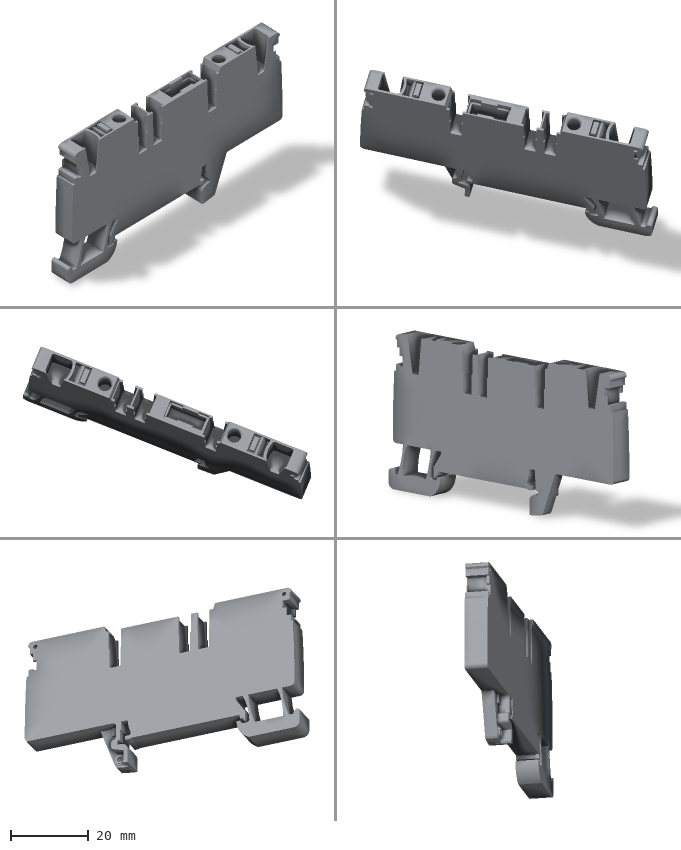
import cadquery as cq

WIDTH = 6.1
HALF_WIDTH = WIDTH / 2
SKIN = 0.6
HALF_CORE = HALF_WIDTH - SKIN

HALF_LENGTH = 38.05
HOUSING_BOTTOM = 12.35
HOUSING_TOP = 41.13
DECK = 39.5
CORNER_RADIUS = 1.1

SHOULDER_Y, SHOULDER_Z = 37.55, 31.3
STEP_Y, STEP_Z = 37.0, 33.15
NOTCH_Y, NOTCH_TOP_Z = 35.75, 37.65
HOOK_Y, HOOK_STEP_Z = 36.6, 39.5
NOSE_RADIUS = 1.2
NOSE_Y, NOSE_Z = 37.1, HOUSING_TOP - NOSE_RADIUS
DECK_EDGE_Y = 15.1
TOP_EDGE_Y = 15.6

NOTCH_INNER_Y = 34.7
NOTCH_FLOOR_Z = 32.7
NOTCH_SPLIT_Z = 35.5
NOTCH_UPPER_SKIN = 0.75
NOTCH_LOWER_SKIN = 0.3
LATERAL_HOLE_RADIUS = 0.6
LATERAL_HOLE_Y, LATERAL_HOLE_Z = 35.05, 39.5
LATERAL_HOLE_DEPTH = 1.0

SLOT_CENTRES = (12.6, -7.05, -12.4)
SLOT_FLOOR = 28.7
SLOT_STEP_Z = 34.2
SLOT_LOWER_HALF = 1.52
SLOT_UPPER_HALF = 1.75
SLOT_CORE_TOP_HALF = 2.45
SLOT_FLOOR_RADIUS = 0.35

ENTRY_OUTER_Y, ENTRY_INNER_Y = 33.55, 28.0
ENTRY_BULGE = 0.6
ENTRY_MIN_X, ENTRY_MAX_X = -2.46, 2.7
ENTRY_CORNER = 0.5
ENTRY_DEPTH = 10.0
WINDOW_TOP_Y = (28.2, 33.2)
WINDOW_FLOOR_Y = (29.2, 31.5)

RELEASE_OUTER_Y, RELEASE_INNER_Y = 27.1, 22.5
RELEASE_HALF_X = 2.55
RELEASE_DEPTH = 3.0
RELEASE_BULGE = 0.4
RAMP_FOOT_Y, RAMP_TOP_Y = 26.2, 25.1
RAMP_DROP = 0.6
SHELF_Y, SHELF_DROP = 24.6, 1.2
LEVER_OUTER_Y, LEVER_INNER_Y = 24.2, 22.9
LEVER_HALF_X = 1.85
LEVER_TOP = 41.3

TEST_HOLE_Y = 17.98
TEST_HOLE_RADIUS = 1.75
TEST_HOLE_MOUTH_RADIUS = 2.1
TEST_HOLE_DEPTH = 8.0

CHANNEL_X, CHANNEL_Y = (-2.2, 1.3), (-0.4, 9.4)
CHANNEL_DEPTH = 6.0
SEAT_X = (-2.7, 1.85)
SEAT_Y_RANGES = ((7.0, 9.9), (-0.9, 2.75))
SEAT_DEPTH = 1.5

SEAT_PLANE_Z = 7.0
SEAT_LUG_Y = (8.4, 9.7)
SEAT_LUG_Z = (6.8, 7.9)
SEAT_ROOT_Y = (9.0, -21.4)
SEAT_HOOK_INNER_Y, SEAT_HOOK_OUTER_Y = -22.5, -24.1
SEAT_HOOK_TIP_Z = 5.1

LATCH_OUTER_Y, LATCH_NECK_Y = 12.25, 13.65
LATCH_FRONT_Y = 10.9
LATCH_STEP_Y, LATCH_STEP_Z = 11.2, 9.9
LATCH_GROOVE_Y = 12.0
LATCH_TOE_Y, LATCH_TOE_BACK_Y = 9.0, 10.15
LATCH_TOE_Z = 0.25
WEB_ROOT_Y = 17.9
WEB_FRONT_Y = 11.8
BLOCK_OUTER_Y, BLOCK_BOTTOM_Z = 14.4, 10.0
WEB_DEPTH = 2.8
BLOCK_DEPTH = 2.4
EYE_Y, EYE_Z = 12.27, 2.72
EYE_STEPS = ((1.5, 0.3), (1.15, 0.6))
EYE_HOLE_RADIUS = 0.75

FOOT_END_Y = -39.5
FOOT_FLOOR_Z = 4.0
FOOT_TIP_Z = 5.35
FOOT_RADIUS = 1.7
FOOT_TOE_Y, FOOT_TOE_Z = -21.7, 5.3
FOOT_HEEL_Y = -25.2
TOE_GROOVE_Z = 4.4
INNER_LEG_TOP_Y = (-23.4, -24.95)
OUTER_LEG_TOP_Y = (-33.15, -34.5)
WINDOW_BOTTOM_Y = (-26.8, -34.75)


def box(x_range, y_range, z_range):
    """Axis-aligned box from its limits."""
    size = [limits[1] - limits[0] for limits in (x_range, y_range, z_range)]
    corner = (x_range[0], y_range[0], z_range[0])
    return cq.Workplane("XY").box(*size, centered=False).translate(corner)


def profile(x_start=-HALF_WIDTH):
    """Sketch plane with Y to the right and Z up, placed at x_start."""
    return cq.Workplane("YZ", origin=(x_start, 0, 0))


def plate(points, x_start=-HALF_WIDTH, x_end=HALF_WIDTH):
    """Straight-sided YZ outline extruded between two X positions."""
    return profile(x_start).polyline(points).close().extrude(x_end - x_start)


def both_ends(shape):
    """A shape together with its mirror image about the XZ plane."""
    return shape.union(shape.mirror("XZ"))


def make_housing():
    half = (
        profile()
        .moveTo(0, HOUSING_BOTTOM)
        .lineTo(HALF_LENGTH - CORNER_RADIUS, HOUSING_BOTTOM)
        .radiusArc((HALF_LENGTH, HOUSING_BOTTOM + CORNER_RADIUS), -CORNER_RADIUS)
        .tangentArcPoint((SHOULDER_Y, SHOULDER_Z), relative=False)
        .lineTo(STEP_Y, SHOULDER_Z)
        .lineTo(STEP_Y, STEP_Z)
        .lineTo(NOTCH_Y, STEP_Z)
        .lineTo(NOTCH_Y, NOTCH_TOP_Z)
        .lineTo(HOOK_Y, NOTCH_TOP_Z)
        .lineTo(HOOK_Y, HOOK_STEP_Z)
        .lineTo(NOSE_Y, NOSE_Z)
        .radiusArc((NOSE_Y - NOSE_RADIUS, HOUSING_TOP), -NOSE_RADIUS)
        .lineTo(TOP_EDGE_Y, HOUSING_TOP)
        .lineTo(DECK_EDGE_Y, DECK)
        .lineTo(0, DECK)
        .close()
        .extrude(WIDTH)
    )
    return both_ends(half)


def make_slot(centre):
    lower, upper = SLOT_LOWER_HALF, SLOT_UPPER_HALF
    floor = box((-HALF_WIDTH, HALF_WIDTH), (centre - lower, centre + lower), (SLOT_FLOOR, DECK))
    floor = floor.edges("|X and <Z").fillet(SLOT_FLOOR_RADIUS)
    mouth = box((-HALF_WIDTH, HALF_WIDTH), (centre - upper, centre + upper), (SLOT_STEP_Z, HOUSING_TOP))
    core = plate(
        [
            (centre - lower, SLOT_FLOOR),
            (centre + lower, SLOT_FLOOR),
            (centre + SLOT_CORE_TOP_HALF, DECK),
            (centre - SLOT_CORE_TOP_HALF, DECK),
        ],
        -HALF_CORE,
        HALF_CORE,
    )
    return floor.union(mouth).union(core)


def make_wire_entry():
    mid_x = (ENTRY_MIN_X + ENTRY_MAX_X) / 2
    funnel = (
        cq.Workplane("XY", origin=(0, 0, HOUSING_TOP))
        .moveTo(ENTRY_MIN_X, ENTRY_INNER_Y)
        .threePointArc((mid_x, ENTRY_INNER_Y - ENTRY_BULGE), (ENTRY_MAX_X, ENTRY_INNER_Y))
        .lineTo(ENTRY_MAX_X, ENTRY_OUTER_Y)
        .lineTo(ENTRY_MIN_X, ENTRY_OUTER_Y)
        .close()
        .extrude(-ENTRY_DEPTH)
        .edges("|Z and (<X or >Y)")
        .fillet(ENTRY_CORNER)
    )
    floor = HOUSING_TOP - ENTRY_DEPTH
    window = plate(
        [
            (WINDOW_FLOOR_Y[0], floor),
            (WINDOW_FLOOR_Y[1], floor),
            (WINDOW_TOP_Y[1], HOUSING_TOP),
            (WINDOW_TOP_Y[0], HOUSING_TOP),
        ],
        mid_x,
    )
    return funnel.union(window)


def make_release_slot():
    return (
        cq.Workplane("XY", origin=(0, 0, HOUSING_TOP))
        .moveTo(-RELEASE_HALF_X, RELEASE_OUTER_Y)
        .threePointArc((0, RELEASE_OUTER_Y - RELEASE_BULGE), (RELEASE_HALF_X, RELEASE_OUTER_Y))
        .lineTo(RELEASE_HALF_X, RELEASE_INNER_Y)
        .lineTo(-RELEASE_HALF_X, RELEASE_INNER_Y)
        .close()
        .extrude(-RELEASE_DEPTH)
    )


def make_ramp():
    floor = HOUSING_TOP - RELEASE_DEPTH
    crest = HOUSING_TOP - RAMP_DROP
    shelf = HOUSING_TOP - SHELF_DROP
    return plate(
        [
            (RAMP_FOOT_Y, floor),
            (RAMP_TOP_Y, crest),
            (SHELF_Y, crest),
            (SHELF_Y, shelf),
            (RELEASE_INNER_Y, shelf),
            (RELEASE_INNER_Y, floor),
        ],
        -RELEASE_HALF_X,
        RELEASE_HALF_X,
    )


def make_lever():
    return box(
        (-LEVER_HALF_X, LEVER_HALF_X),
        (LEVER_INNER_Y, LEVER_OUTER_Y),
        (HOUSING_TOP - RELEASE_DEPTH, LEVER_TOP),
    )


def make_test_hole():
    mouth = TEST_HOLE_MOUTH_RADIUS - TEST_HOLE_RADIUS
    hole = cq.Workplane("XY", origin=(0, TEST_HOLE_Y, HOUSING_TOP)).circle(TEST_HOLE_RADIUS)
    hole = hole.extrude(-TEST_HOLE_DEPTH)
    cone_base = cq.Vector(0, TEST_HOLE_Y, HOUSING_TOP - mouth)
    cone = cq.Solid.makeCone(TEST_HOLE_RADIUS, TEST_HOLE_MOUTH_RADIUS, mouth, pnt=cone_base)
    return hole.union(cq.Workplane(cone))


def make_centre_pocket():
    pocket = box(CHANNEL_X, CHANNEL_Y, (DECK - CHANNEL_DEPTH, DECK))
    for seat_y in SEAT_Y_RANGES:
        pocket = pocket.union(box(SEAT_X, seat_y, (DECK - SEAT_DEPTH, DECK)))
    return pocket


def make_end_notches():
    """Undercuts of the two end notches; one is the other turned half round the Z axis."""
    y_range = (-NOTCH_Y, -NOTCH_INNER_Y)
    lower_x = (-HALF_WIDTH + NOTCH_LOWER_SKIN, HALF_WIDTH)
    upper_x = (-HALF_WIDTH, HALF_WIDTH - NOTCH_UPPER_SKIN)
    lower = box(lower_x, y_range, (NOTCH_FLOOR_Z, NOTCH_SPLIT_Z))
    upper = box(upper_x, y_range, (NOTCH_SPLIT_Z, NOTCH_TOP_Z))
    notch = lower.union(upper)
    return notch.union(notch.rotate((0, 0, 0), (0, 0, 1), 180))


def make_lateral_holes():
    return (
        profile()
        .pushPoints([(LATERAL_HOLE_Y, LATERAL_HOLE_Z), (-LATERAL_HOLE_Y, LATERAL_HOLE_Z)])
        .circle(LATERAL_HOLE_RADIUS)
        .extrude(LATERAL_HOLE_DEPTH)
    )


def make_rail_seat():
    """Tongue under the housing that rests on the rail, with a hook at each end."""
    lug_root_y, lug_tip_y = SEAT_LUG_Y
    lug_bottom, lug_top = SEAT_LUG_Z
    front_root_y, rear_root_y = SEAT_ROOT_Y
    return plate(
        [
            (front_root_y, HOUSING_BOTTOM),
            (front_root_y - 0.25, 10.3),
            (lug_root_y - 0.3, lug_top + 0.5),
            (lug_root_y, lug_top),
            (lug_tip_y, lug_top),
            (lug_tip_y, lug_bottom),
            (lug_root_y, lug_bottom),
            (lug_root_y, SEAT_PLANE_Z),
            (SEAT_HOOK_INNER_Y, SEAT_PLANE_Z),
            (SEAT_HOOK_INNER_Y - 0.2, SEAT_HOOK_TIP_Z + 0.8),
            (SEAT_HOOK_OUTER_Y + 0.5, SEAT_HOOK_TIP_Z + 0.7),
            (SEAT_HOOK_OUTER_Y + 0.4, SEAT_HOOK_TIP_Z),
            (SEAT_HOOK_OUTER_Y, SEAT_HOOK_TIP_Z),
            (SEAT_HOOK_OUTER_Y, SEAT_PLANE_Z + 0.8),
            (rear_root_y, HOUSING_BOTTOM - 0.6),
            (rear_root_y, HOUSING_BOTTOM),
        ]
    )


def make_latch():
    """Full-width bent strip backed by a thinner web that carries a pierced boss."""
    strip = (
        profile()
        .moveTo(13.2, HOUSING_BOTTOM)
        .threePointArc((12.5, 11.95), (LATCH_OUTER_Y, 11.1))
        .lineTo(LATCH_OUTER_Y, 8.5)
        .threePointArc((12.5, 7.8), (13.1, 7.5))
        .threePointArc((13.5, 7.2), (LATCH_NECK_Y, 6.7))
        .lineTo(LATCH_NECK_Y, 5.6)
        .threePointArc((13.5, 5.1), (13.1, 4.8))
        .lineTo(LATCH_TOE_BACK_Y, 3.85)
        .lineTo(LATCH_TOE_BACK_Y, 1.2)
        .lineTo(10.4, 0.7)
        .lineTo(10.1, LATCH_TOE_Z)
        .lineTo(LATCH_TOE_Y, LATCH_TOE_Z)
        .lineTo(LATCH_TOE_Y, 4.2)
        .threePointArc((9.6, 5.3), (10.8, 5.75))
        .lineTo(LATCH_GROOVE_Y, 5.95)
        .lineTo(LATCH_GROOVE_Y, 7.0)
        .threePointArc((11.35, 7.1), (LATCH_STEP_Y, 7.6))
        .lineTo(LATCH_STEP_Y, LATCH_STEP_Z)
        .lineTo(LATCH_FRONT_Y, LATCH_STEP_Z)
        .lineTo(LATCH_FRONT_Y, HOUSING_BOTTOM)
        .close()
        .extrude(WIDTH)
    )
    web_face = -HALF_WIDTH + WEB_DEPTH
    web = plate(
        [
            (WEB_ROOT_Y, HOUSING_BOTTOM),
            (13.75, 1.3),
            (13.4, 0.8),
            (10.1, 0.3),
            (9.6, 4.2),
            (12.8, 5.5),
            (12.8, 7.2),
            (WEB_FRONT_Y, 8.2),
            (WEB_FRONT_Y, HOUSING_BOTTOM),
        ],
        web_face,
    )
    block = box(
        (-HALF_WIDTH + BLOCK_DEPTH, HALF_WIDTH),
        (WEB_FRONT_Y, BLOCK_OUTER_Y),
        (BLOCK_BOTTOM_Z, HOUSING_BOTTOM),
    )
    latch = strip.union(web).union(block)
    for radius, height in EYE_STEPS:
        boss = profile(web_face - height).center(EYE_Y, EYE_Z).circle(radius).extrude(height)
        latch = latch.union(boss)
    eye = profile().center(EYE_Y, EYE_Z).circle(EYE_HOLE_RADIUS).extrude(WEB_DEPTH)
    return latch.cut(eye)


def make_foot():
    """Springy foot carried by two slanted legs with a window between them."""
    foot = (
        profile()
        .moveTo(INNER_LEG_TOP_Y[0], HOUSING_BOTTOM)
        .threePointArc((-25.0, 7.7), (-25.3, 5.0))
        .threePointArc((-25.1, 4.6), (-24.7, TOE_GROOVE_Z))
        .lineTo(-23.4, TOE_GROOVE_Z)
        .threePointArc((-23.0, 4.7), (-22.8, FOOT_TOE_Z))
        .lineTo(FOOT_TOE_Y, FOOT_TOE_Z)
        .threePointArc((-22.6, 2.2), (FOOT_HEEL_Y, 0))
        .lineTo(FOOT_END_Y + FOOT_RADIUS, 0)
        .radiusArc((FOOT_END_Y, FOOT_RADIUS), FOOT_RADIUS)
        .lineTo(FOOT_END_Y, 4.6)
        .threePointArc((-38.75, FOOT_TIP_Z), (-38.0, 4.7))
        .lineTo(-37.6, FOOT_FLOOR_Z)
        .lineTo(-36.5, FOOT_FLOOR_Z)
        .threePointArc((-35.12, 8.17), (OUTER_LEG_TOP_Y[1], HOUSING_BOTTOM))
        .close()
        .extrude(WIDTH)
    )
    window = (
        profile()
        .moveTo(INNER_LEG_TOP_Y[1], HOUSING_BOTTOM)
        .threePointArc((-25.7, 7.7), (WINDOW_BOTTOM_Y[0], FOOT_FLOOR_Z))
        .lineTo(WINDOW_BOTTOM_Y[1], FOOT_FLOOR_Z)
        .lineTo(WINDOW_BOTTOM_Y[1], 5.7)
        .threePointArc((-34.3, 8.9), (OUTER_LEG_TOP_Y[0], HOUSING_BOTTOM))
        .close()
        .extrude(WIDTH)
    )
    return foot.cut(window)


result = make_housing()
for slot_centre in SLOT_CENTRES:
    result = result.cut(make_slot(slot_centre))
for cutter in (make_wire_entry(), make_release_slot(), make_test_hole()):
    result = result.cut(both_ends(cutter))
result = result.cut(make_centre_pocket()).cut(make_end_notches()).cut(make_lateral_holes())
for insert in (make_ramp(), make_lever()):
    result = result.union(both_ends(insert))
for addition in (make_rail_seat(), make_latch(), make_foot()):
    result = result.union(addition)